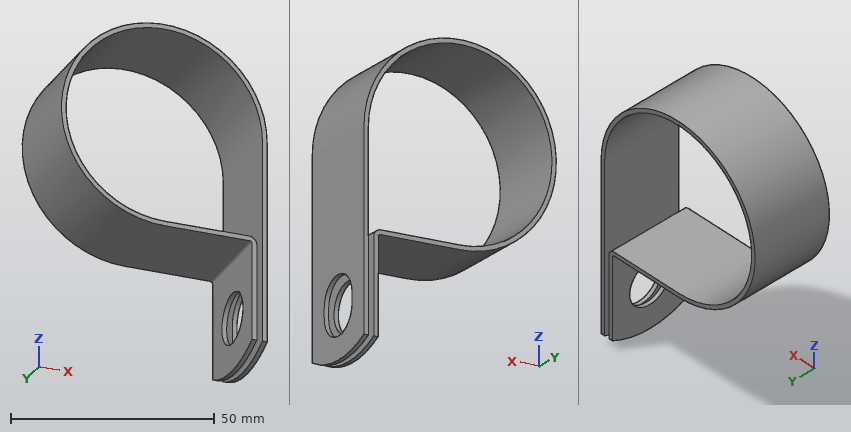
import cadquery as cq

loop_radius = 27.4
strip = 1.3
width = 25.4
height = 84.5
leg_gap = 1.5
bend_radius = 2.0
hole_diameter = 13.5
slot_length = 16.1
hole_height = 14.3
tip_radius = 27.9

loop_inner = loop_radius - strip
tip_z = loop_radius - height
short_leg_outer = loop_inner - leg_gap
short_leg_inner = short_leg_outer - strip
bend_x = short_leg_outer - bend_radius
bend_z = -loop_radius + strip - bend_radius
bend_inner = bend_radius - strip


def loop_middle(radius):
    """Point halfway round the three-quarter loop at the given radius."""
    offset = radius * 0.5 ** 0.5
    return -offset, offset


def bend_middle(radius):
    """Point halfway round the quarter bend at the given radius."""
    offset = radius * 0.5 ** 0.5
    return bend_x + offset, bend_z + offset


def bent_strip():
    """Long leg, three-quarter loop, flat floor and short leg in one strip."""
    return (
        cq.Workplane("XZ", origin=(0, width / 2, 0))
        .moveTo(loop_radius, tip_z)
        .lineTo(loop_radius, 0)
        .threePointArc(loop_middle(loop_radius), (0, -loop_radius))
        .lineTo(bend_x, -loop_radius)
        .threePointArc(bend_middle(bend_inner), (short_leg_inner, bend_z))
        .lineTo(short_leg_inner, tip_z)
        .lineTo(short_leg_outer, tip_z)
        .lineTo(short_leg_outer, bend_z)
        .threePointArc(bend_middle(bend_radius), (bend_x, -loop_inner))
        .lineTo(0, -loop_inner)
        .threePointArc(loop_middle(loop_inner), (loop_inner, 0))
        .lineTo(loop_inner, tip_z)
        .close()
        .extrude(width)
    )


def side_outline():
    """Oversized block whose lower end has the rounded outline of the leg tips."""
    half_width = width / 2
    corner_z = tip_z + tip_radius - (tip_radius ** 2 - half_width ** 2) ** 0.5
    return (
        cq.Workplane("YZ")
        .moveTo(-half_width, 2 * loop_radius)
        .lineTo(-half_width, corner_z)
        .threePointArc((0, tip_z), (half_width, corner_z))
        .lineTo(half_width, 2 * loop_radius)
        .close()
        .extrude(2 * loop_radius, both=True)
    )


def bolt_hole():
    """Round hole through the short leg, ending in the gap between the legs."""
    return (
        cq.Workplane("YZ")
        .center(0, tip_z + hole_height)
        .circle(hole_diameter / 2)
        .extrude(short_leg_outer + leg_gap / 2)
    )


def adjustment_slot():
    """Upright slot through the long leg, starting in the gap between the legs."""
    return (
        cq.Workplane("YZ", origin=(loop_inner - leg_gap / 2, 0, 0))
        .center(0, tip_z + hole_height)
        .slot2D(slot_length, hole_diameter, 90)
        .extrude(leg_gap + strip)
    )


result = bent_strip().intersect(side_outline()).cut(bolt_hole()).cut(adjustment_slot())